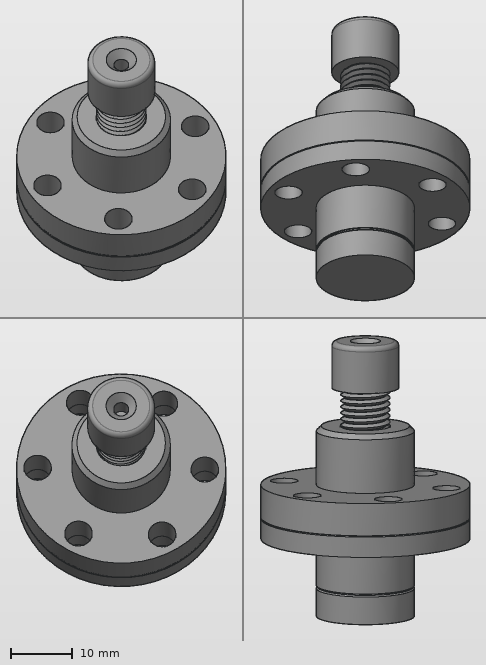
import cadquery as cq
total_height = 45.1
cap_top = 4.8
barrel_bottom = 5.0
lower_flange_bottom = 12.7
flange_joint = 16.25
upper_flange_top = 21.55
barrel_top = 31.15
head_bottom = 37.42

barrel_radius = 7.95
barrel_chamfer = 0.8
cap_chamfer = 0.23
neck_radius = barrel_radius - cap_chamfer
flange_diameter = 33.75
flange_radius = flange_diameter / 2
lower_flange_chamfer = 0.2

bolt_count = 6
bolt_circle_radius = 13.5
bolt_hole_diameter = 4.4

head_radius = 5.4
head_fillet = 0.8
hole_diameter = 2.4
countersink_diameter = 4.85
countersink_angle = 90.0
hole_depth = 4.5

thread_radius = 4.0
thread_depth = 0.65
thread_pitch = 1.0
root_flat = 0.1
profile_overlap = 0.05
thread_start_angle = 180.0
bore_clearance = 0.05

bore_depth = 2 * thread_radius
screw_bottom = barrel_top - bore_depth
bore_radius = thread_radius + bore_clearance
core_radius = thread_radius - thread_depth
turns_below_top_crest = 13
turns_above_top_crest = 1
thread_turns = turns_below_top_crest + turns_above_top_crest
top_exposed_crest = 36.75
first_crest = top_exposed_crest - turns_below_top_crest * thread_pitch


def cylinder(radius, bottom, top):
    """Solid cylinder on the Z axis between two heights."""
    return cq.Workplane("XY").workplane(offset=bottom).circle(radius).extrude(top - bottom)


def drill_bolt_holes(flange):
    """Cut the ring of bolt holes through a flanged body."""
    holes = (
        cq.Workplane("XY")
        .polarArray(bolt_circle_radius, 0, 360, bolt_count)
        .circle(bolt_hole_diameter / 2)
        .extrude(total_height)
    )
    return flange.cut(holes)


def make_thread_ridge():
    """Helical ridge whose foot is sunk slightly into the screw core."""
    foot_radius = core_radius - profile_overlap
    half_width_at_core = (thread_pitch - root_flat) / 2
    half_foot = half_width_at_core * (thread_radius - foot_radius) / thread_depth
    corners = [(foot_radius, -half_foot), (thread_radius, 0), (foot_radius, half_foot)]
    profile = cq.Workplane("XZ").polyline(corners).close()
    helix = cq.Wire.makeHelix(thread_pitch, thread_turns * thread_pitch, core_radius)
    ridge = profile.sweep(cq.Workplane(obj=helix), isFrenet=True)
    return ridge.rotate((0, 0, 0), (0, 0, 1), thread_start_angle).translate((0, 0, first_crest))


def make_screw():
    """Round-headed screw with a countersunk hole in its head."""
    head = cylinder(head_radius, head_bottom, total_height).faces(">Z").edges().fillet(head_fillet)
    head = head.faces(">Z").workplane().cskHole(
        hole_diameter, countersink_diameter, countersink_angle, hole_depth
    )
    core = cylinder(core_radius, screw_bottom, head_bottom)
    return core.union(make_thread_ridge()).union(head)


def make_upper_housing():
    """Upper flange and chamfered barrel, bored for the screw."""
    barrel = cylinder(barrel_radius, flange_joint, barrel_top)
    barrel = barrel.faces(">Z").edges().chamfer(barrel_chamfer)
    body = cylinder(flange_radius, flange_joint, upper_flange_top).union(barrel)
    body = body.cut(cylinder(bore_radius, screw_bottom, barrel_top))
    return drill_bolt_holes(body)


def make_lower_housing():
    """Lower flange with a chamfered top rim, and a barrel ending in a short neck."""
    flange = cylinder(flange_radius, lower_flange_bottom, flange_joint)
    body = (
        flange.faces(">Z").edges().chamfer(lower_flange_chamfer)
        .union(cylinder(barrel_radius, barrel_bottom, lower_flange_bottom))
        .union(cylinder(neck_radius, cap_top, barrel_bottom))
    )
    return drill_bolt_holes(body)


def make_end_cap():
    """Round cap under the neck, chamfered down from the neck to its full radius."""
    return cylinder(barrel_radius, 0, cap_top).faces(">Z").edges().chamfer(cap_chamfer)


screw = make_screw()
upper_housing = make_upper_housing()
lower_housing = make_lower_housing()
end_cap = make_end_cap()

result = cq.Compound.makeCompound(
    [body.solids().val() for body in (screw, upper_housing, lower_housing, end_cap)]
)